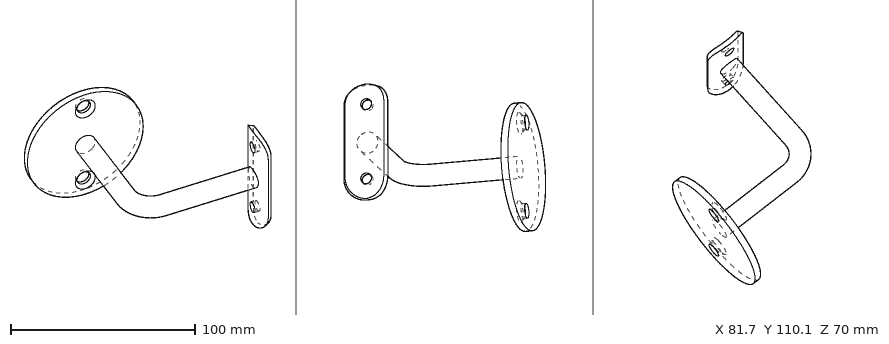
import cadquery as cq
import math

overall_depth = 110.1

plate_diameter = 70.0
plate_thickness = 4.0
plate_hole_diameter = 8.0
plate_hole_spacing = 50.0
countersink_depth = 2.0
countersink_angle = 90
countersink_flare = countersink_depth * math.tan(math.radians(countersink_angle / 2))
countersink_diameter = plate_hole_diameter + 2 * countersink_flare

rod_diameter = 12.0
rod_straight = 50.1
bend_radius = 15.0
bend_start_x = plate_thickness + rod_straight
saddle_x = bend_start_x + bend_radius

saddle_inner_radius = 21.2
saddle_thickness = 3.0
saddle_outer_radius = saddle_inner_radius + saddle_thickness
saddle_width = 25.1
saddle_height = 65.0
saddle_corner_radius = 12.0
saddle_hole_diameter = 6.0
saddle_hole_spacing = 42.0
saddle_half_angle = math.asin(saddle_width / 2 / saddle_outer_radius)

tip_y = overall_depth - plate_diameter / 2
saddle_axis_y = tip_y + saddle_inner_radius * math.cos(saddle_half_angle)


def make_wall_plate():
    """Round plate with two screw holes, countersunk on the rod side."""
    return (
        cq.Workplane("YZ")
        .circle(plate_diameter / 2)
        .extrude(plate_thickness)
        .faces(">X")
        .workplane(origin=(0, 0, 0))
        .rarray(1.1, plate_hole_spacing, 1, 2)
        .cskHole(plate_hole_diameter, countersink_diameter, countersink_angle)
    )


def make_rod():
    """Rod with a right-angle bend, its end cut to fit the outside of the saddle."""
    path = (
        cq.Workplane("XY")
        .moveTo(plate_thickness, 0)
        .lineTo(bend_start_x, 0)
        .radiusArc((saddle_x, bend_radius), -bend_radius)
        .lineTo(saddle_x, saddle_axis_y)
    )
    rod = (
        cq.Workplane("YZ", origin=(plate_thickness, 0, 0))
        .circle(rod_diameter / 2)
        .sweep(path)
    )
    saddle_tube = (
        cq.Workplane("XY", origin=(saddle_x, saddle_axis_y, 0))
        .circle(saddle_outer_radius)
        .extrude(rod_diameter, both=True)
    )
    return rod.cut(saddle_tube)


def make_edge_trimmer(side):
    """Block that bounds one side of the saddle (-1 or 1) by a radial edge with rounded corners."""
    block_width = 2 * saddle_outer_radius
    return (
        cq.Workplane("XY")
        .box(block_width, block_width, saddle_height)
        .translate((-side * block_width / 2, -block_width / 2, 0))
        .edges("|Y and >X" if side > 0 else "|Y and <X")
        .fillet(saddle_corner_radius)
        .rotate((0, 0, 0), (0, 0, 1), side * math.degrees(saddle_half_angle))
        .translate((saddle_x, saddle_axis_y, 0))
    )


def make_saddle():
    """Curved strip with radial edges, rounded corners and two screw holes along Y."""
    saddle = (
        cq.Workplane("XY", origin=(saddle_x, saddle_axis_y, -saddle_height / 2))
        .circle(saddle_outer_radius)
        .circle(saddle_inner_radius)
        .extrude(saddle_height)
    )
    for side in (-1, 1):
        saddle = saddle.intersect(make_edge_trimmer(side))
    screw_holes = (
        cq.Workplane("XZ", origin=(saddle_x, saddle_axis_y, 0))
        .rarray(1.1, saddle_hole_spacing, 1, 2)
        .circle(saddle_hole_diameter / 2)
        .extrude(saddle_outer_radius)
    )
    return saddle.cut(screw_holes)


wall_plate = make_wall_plate()
rod = make_rod()
saddle = make_saddle()

result = cq.Compound.makeCompound([wall_plate.val(), *rod.vals(), *saddle.vals()])